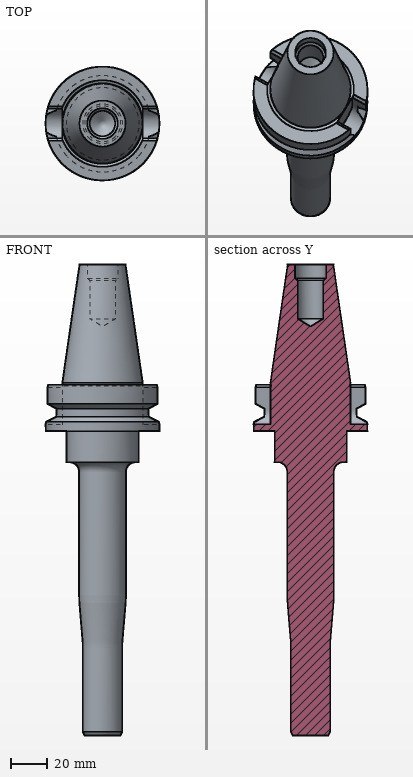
import cadquery as cq
import math

TOTAL_LENGTH = 260.5
HALF_LENGTH = TOTAL_LENGTH / 2

TAPER_LENGTH = 65.4
GAUGE_DIAMETER = 44.5
TAPER_RATIO = 7 / 24
TAPER_TOP_DIAMETER = GAUGE_DIAMETER - TAPER_LENGTH * TAPER_RATIO

RELIEF_DIAMETER = 43.7
RELIEF_RIM_DIAMETER = 48.0
RELIEF_DEPTH = 0.8

FLANGE_DIAMETER = 63.0
FLANGE_GAP = 1.0
FLANGE_BOTTOM_DEPTH = 92.2
GROOVE_DIAMETER = 53.5
GROOVE_FLOOR_HEIGHT = 4.5
GROOVE_MIDDLE_DEPTH = 82.0
GROOVE_FLANK_ANGLE = 30.0
GROOVE_FLANK_HEIGHT = (
    (FLANGE_DIAMETER - GROOVE_DIAMETER) / 2 * math.tan(math.radians(GROOVE_FLANK_ANGLE))
)

SLOT_WIDTH = 16.1
SLOT_DEPTH = 22.0
SLOT_FLOOR_RADIUS = 22.1
SLOT_FLAT_WIDTH = 0.8
SLOT_RIM_CHAMFER = 1.5

COLLAR_DIAMETER = 40.0
COLLAR_BOTTOM_DEPTH = 109.4
NECK_DIAMETER = 26.0
NECK_FILLET = 5.2
NECK_END_DEPTH = 185.0
PILOT_DIAMETER = 22.0
PILOT_START_DEPTH = 210.0
BLEND_REACH = 2.0
TIP_CHAMFER_HEIGHT = 2.0
TIP_CHAMFER_WIDTH = 1.0

BORE_DIAMETER = 17.0
BORE_DEPTH = 7.5
BORE_SEAT_HEIGHT = 1.3
PILOT_HOLE_DIAMETER = 14.0
PILOT_HOLE_DEPTH = 30.0
DRILL_POINT_ANGLE = 118.0


def height(depth):
    """Z coordinate at a given depth below the top end."""
    return HALF_LENGTH - depth


def make_body():
    flange_radius = FLANGE_DIAMETER / 2
    groove_top = GROOVE_MIDDLE_DEPTH - GROOVE_FLOOR_HEIGHT / 2
    groove_bottom = GROOVE_MIDDLE_DEPTH + GROOVE_FLOOR_HEIGHT / 2
    flange_top = TAPER_LENGTH + FLANGE_GAP
    fillet_center_radius = NECK_DIAMETER / 2 + NECK_FILLET
    fillet_mid_offset = NECK_FILLET * math.sqrt(0.5)
    cone_angle = math.atan(
        (NECK_DIAMETER - PILOT_DIAMETER) / 2 / (PILOT_START_DEPTH - NECK_END_DEPTH)
    )
    blend_width = BLEND_REACH * math.sin(cone_angle)
    blend_height = BLEND_REACH * math.cos(cone_angle)
    profile = (
        cq.Workplane("XZ")
        .moveTo(0, height(0))
        .lineTo(TAPER_TOP_DIAMETER / 2, height(0))
        .lineTo(GAUGE_DIAMETER / 2, height(TAPER_LENGTH))
        .lineTo(RELIEF_DIAMETER / 2, height(flange_top + RELIEF_DEPTH))
        .lineTo(RELIEF_RIM_DIAMETER / 2, height(flange_top))
        .lineTo(flange_radius, height(flange_top))
        .lineTo(flange_radius, height(groove_top - GROOVE_FLANK_HEIGHT))
        .lineTo(GROOVE_DIAMETER / 2, height(groove_top))
        .lineTo(GROOVE_DIAMETER / 2, height(groove_bottom))
        .lineTo(flange_radius, height(groove_bottom + GROOVE_FLANK_HEIGHT))
        .lineTo(flange_radius, height(FLANGE_BOTTOM_DEPTH))
        .lineTo(COLLAR_DIAMETER / 2, height(FLANGE_BOTTOM_DEPTH))
        .lineTo(COLLAR_DIAMETER / 2, height(COLLAR_BOTTOM_DEPTH))
        .lineTo(fillet_center_radius, height(COLLAR_BOTTOM_DEPTH))
        .threePointArc(
            (
                fillet_center_radius - fillet_mid_offset,
                height(COLLAR_BOTTOM_DEPTH + NECK_FILLET - fillet_mid_offset),
            ),
            (NECK_DIAMETER / 2, height(COLLAR_BOTTOM_DEPTH + NECK_FILLET)),
        )
        .lineTo(NECK_DIAMETER / 2, height(NECK_END_DEPTH - BLEND_REACH))
        .tangentArcPoint(
            (NECK_DIAMETER / 2 - blend_width, height(NECK_END_DEPTH + blend_height)),
            relative=False,
        )
        .lineTo(PILOT_DIAMETER / 2 + blend_width, height(PILOT_START_DEPTH - blend_height))
        .tangentArcPoint(
            (PILOT_DIAMETER / 2, height(PILOT_START_DEPTH + BLEND_REACH)),
            relative=False,
        )
        .lineTo(PILOT_DIAMETER / 2, height(TOTAL_LENGTH - TIP_CHAMFER_HEIGHT))
        .lineTo(PILOT_DIAMETER / 2 - TIP_CHAMFER_WIDTH, height(TOTAL_LENGTH))
        .lineTo(0, height(TOTAL_LENGTH))
        .close()
    )
    return profile.revolve(360, (0, 0, 0), (0, 1, 0))


def make_drive_slot(side):
    """Slot cutter with rounded lower corners; side is 1 for +X and -1 for -X."""
    half_width = SLOT_WIDTH / 2
    half_flat = SLOT_FLAT_WIDTH / 2
    corner_radius = half_width - half_flat
    rim_half_width = half_width + SLOT_RIM_CHAMFER
    top = height(TAPER_LENGTH + FLANGE_GAP)
    bottom = top - SLOT_DEPTH
    outline = (
        cq.Workplane("YZ", origin=(side * SLOT_FLOOR_RADIUS, 0, 0))
        .moveTo(-rim_half_width, top)
        .lineTo(-half_width, top - SLOT_RIM_CHAMFER)
        .lineTo(-half_width, bottom + corner_radius)
        .tangentArcPoint((-half_flat, bottom), relative=False)
        .lineTo(half_flat, bottom)
        .tangentArcPoint((half_width, bottom + corner_radius), relative=False)
        .lineTo(half_width, top - SLOT_RIM_CHAMFER)
        .lineTo(rim_half_width, top)
        .close()
    )
    return outline.extrude(side * FLANGE_DIAMETER / 2)


def make_bore():
    point_height = PILOT_HOLE_DIAMETER / 2 / math.tan(math.radians(DRILL_POINT_ANGLE / 2))
    profile = (
        cq.Workplane("XZ")
        .moveTo(0, height(0))
        .lineTo(BORE_DIAMETER / 2, height(0))
        .lineTo(BORE_DIAMETER / 2, height(BORE_DEPTH))
        .lineTo(PILOT_HOLE_DIAMETER / 2, height(BORE_DEPTH + BORE_SEAT_HEIGHT))
        .lineTo(PILOT_HOLE_DIAMETER / 2, height(PILOT_HOLE_DEPTH))
        .lineTo(0, height(PILOT_HOLE_DEPTH + point_height))
        .close()
    )
    return profile.revolve(360, (0, 0, 0), (0, 1, 0))


result = make_body().cut(make_bore())
for slot_side in (-1, 1):
    result = result.cut(make_drive_slot(slot_side))